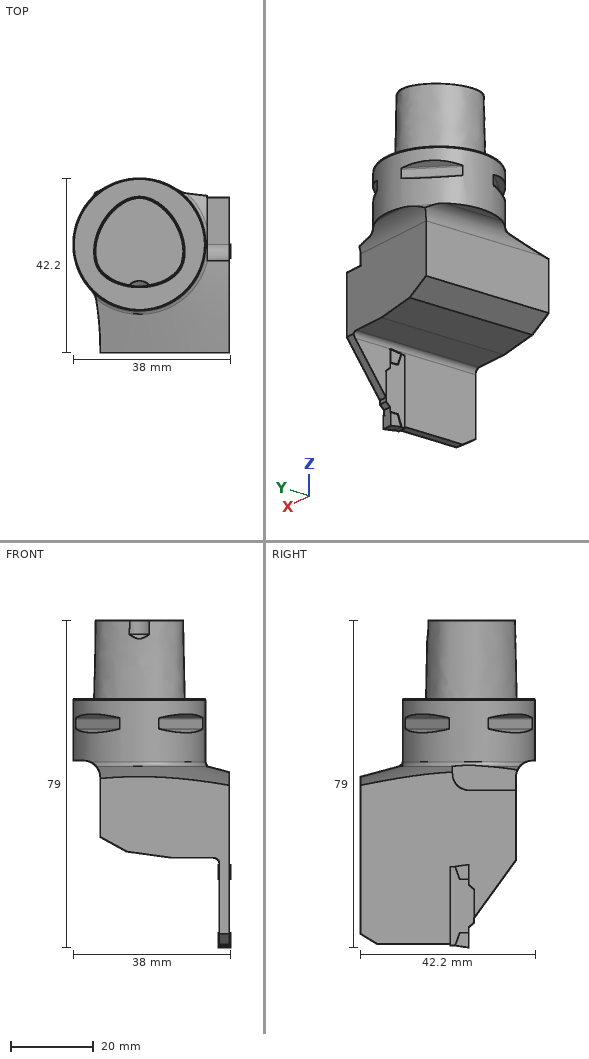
import cadquery as cq
import math


shank_height = 18.9
lobe_radius = 11.0
lobe_offset = 0.59
shank_taper = 0.4

notch_radius = 3.15
notch_axis_y = -11.9
notch_depth = 3.4
notch_tip_angle = 39

flange_diameter = 32.0
flange_radius = flange_diameter / 2
flange_height = 15.0
flange_chamfer_width = 0.2
flange_chamfer_height = 0.4
slot_floor_distance = 14.15
slot_center_z = -6.0
slot_floor_width = 2.6
slot_mouth_width = 4.5
slot_corner_fillet = 0.3

cone_angle = 15
cone_top_z = -16.1
shoulder_fillet = 1.1
envelope_radius = 47.4
envelope_bottom = -71.1

block_left = -9.5
block_right = 21.7
block_front = -26.15
block_back = 11.4
cove_radius = 3.95
block_bottom = -38.5
left_edge_bottom = -33.4
slope_break_x = -3.0
slope_break_z = -37.0
flat_start_x = 8.0
blade_thickness = 2.45
blade_left = block_right - blade_thickness
blade_fillet = 1.4
blade_bottom = -59.25
blade_chamfer_width = 4.0
blade_chamfer_height = 2.45
back_slope_top_z = -39.0
back_slope_end_y = 1.3
back_slope_end_z = -53.0

relief_left = 16.35
relief_front = -3.95
relief_floor_z = -22.1

insert_center_z = -50.1
insert_back_y = -4.5
insert_half_height = 9.55
insert_tip_half_height = 10.0
belly_y = 1.3
belly_half_height = 4.0
neck_half_height = 5.1
head_half_height = 6.5
head_inner_depth = 2.2
head_outer_depth = 3.3
head_overhang = 0.28


def lobed_wire(radius, z):
    """Closed three-lobed outline whose support function is radius + offset * cos(3 * angle)."""
    def point(t):
        angle = 2 * math.pi * t
        phase = 3 * (angle - math.pi / 2)
        support = radius + lobe_offset * math.cos(phase)
        slope = -3 * lobe_offset * math.sin(phase)
        x = support * math.cos(angle) - slope * math.sin(angle)
        y = support * math.sin(angle) + slope * math.cos(angle)
        return (x, y, z)

    samples = 36
    edge = cq.Edge.makeSpline([cq.Vector(*point(i / samples)) for i in range(samples)], periodic=True)
    return cq.Wire.assembleEdges([edge])


def make_shank():
    base = lobed_wire(lobe_radius, 0)
    top = lobed_wire(lobe_radius - shank_taper, shank_height)
    shank = cq.Workplane(obj=cq.Solid.makeLoft([base, top]))
    shoulder_z = shank_height - notch_depth
    tip_z = shoulder_z - notch_radius * math.tan(math.radians(notch_tip_angle))
    drill = (
        cq.Workplane("XZ")
        .polyline([(0, tip_z), (notch_radius, shoulder_z), (notch_radius, shank_height), (0, shank_height)])
        .close()
        .revolve(360, (0, 0), (0, 1))
        .translate((0, notch_axis_y, 0))
    )
    return shank.cut(drill)


def make_flange():
    return (
        cq.Workplane("XZ")
        .polyline([
            (0, 0),
            (flange_radius - flange_chamfer_width, 0),
            (flange_radius, -flange_chamfer_height),
            (flange_radius, -flange_height),
            (0, -flange_height),
        ])
        .close()
        .revolve(360, (0, 0), (0, 1))
    )


def make_gripper_slot(angle):
    """Straight slot with flared sides, cut into the flange rim at the given angle."""
    floor_top = slot_center_z + slot_floor_width / 2
    floor_bottom = slot_center_z - slot_floor_width / 2
    flare = (slot_mouth_width - slot_floor_width) / 2
    return (
        cq.Workplane("XZ")
        .polyline([
            (slot_floor_distance, floor_bottom),
            (flange_radius, floor_bottom - flare),
            (flange_radius, floor_top + flare),
            (slot_floor_distance, floor_top),
        ])
        .close()
        .extrude(flange_radius, both=True)
        .faces("<X")
        .edges("|Y")
        .fillet(slot_corner_fillet)
        .rotate((0, 0, 0), (0, 0, 1), angle)
    )


def make_shoulder_envelope():
    """Revolved space below the flange: rim, blend, then a downward cone."""
    slope = math.radians(cone_angle)
    tangent_length = shoulder_fillet * math.tan((math.pi / 2 - slope) / 2)
    blend_end = (
        flange_radius + tangent_length * math.cos(slope),
        cone_top_z - tangent_length * math.sin(slope),
    )
    cone_end_z = cone_top_z - (envelope_radius - flange_radius) * math.tan(slope)
    return (
        cq.Workplane("XZ")
        .moveTo(0, -flange_height)
        .lineTo(flange_radius, -flange_height)
        .lineTo(flange_radius, cone_top_z + tangent_length)
        .tangentArcPoint(blend_end, relative=False)
        .lineTo(envelope_radius, cone_end_z)
        .lineTo(envelope_radius, envelope_bottom)
        .lineTo(0, envelope_bottom)
        .close()
        .revolve(360, (0, 0), (0, 1))
    )


def cove_middle(wall, outward):
    """Middle of the concave quarter arc from the flange underside to a block wall."""
    reach = cove_radius * (1 - math.sqrt(0.5))
    return (wall + outward * reach, -flange_height - reach)


def make_block():
    """Block and blade: the profile across X and the profile across Y, intersected."""
    across_x = (
        cq.Workplane("XZ")
        .moveTo(block_right, -flange_height)
        .lineTo(block_left - cove_radius, -flange_height)
        .threePointArc(cove_middle(block_left, -1), (block_left, -flange_height - cove_radius))
        .lineTo(block_left, left_edge_bottom)
        .lineTo(slope_break_x, slope_break_z)
        .lineTo(flat_start_x, block_bottom)
        .lineTo(blade_left - blade_fillet, block_bottom)
        .tangentArcPoint((blade_left, block_bottom - blade_fillet), relative=False)
        .lineTo(blade_left, blade_bottom)
        .lineTo(block_right, blade_bottom)
        .close()
        .extrude(envelope_radius, both=True)
    )
    across_y = (
        cq.Workplane("YZ")
        .moveTo(block_front, -flange_height)
        .lineTo(block_back + cove_radius, -flange_height)
        .threePointArc(cove_middle(block_back, 1), (block_back, -flange_height - cove_radius))
        .lineTo(block_back, back_slope_top_z)
        .lineTo(back_slope_end_y, back_slope_end_z)
        .lineTo(insert_back_y, blade_bottom)
        .lineTo(block_front + blade_chamfer_width, blade_bottom)
        .lineTo(block_front, blade_bottom + blade_chamfer_height)
        .close()
        .extrude(envelope_radius, both=True)
    )
    return across_x.intersect(across_y).intersect(make_shoulder_envelope())


def make_relief():
    """Stepped-down back corner of the block, with a concave radius at the step."""
    length = block_right - relief_left
    return (
        cq.Workplane("YZ", origin=(relief_left, 0, 0))
        .moveTo(relief_front, -flange_height)
        .lineTo(relief_front, relief_floor_z + cove_radius)
        .tangentArcPoint((relief_front + cove_radius, relief_floor_z), relative=False)
        .lineTo(block_back + cove_radius, relief_floor_z)
        .lineTo(block_back + cove_radius, -flange_height)
        .close()
        .extrude(length)
    )


def make_insert():
    """Double-ended insert: a plate as thick as the blade with a wider head at each end."""
    upper_outline = [
        (insert_back_y, insert_half_height),
        (-head_outer_depth, insert_half_height),
        (0, insert_tip_half_height),
        (0, neck_half_height),
        (belly_y, belly_half_height),
    ]
    lower_outline = [(y, -z) for y, z in reversed(upper_outline)]
    plate = (
        cq.Workplane("YZ", origin=(blade_left, 0, insert_center_z))
        .polyline(upper_outline + lower_outline)
        .close()
        .extrude(blade_thickness)
    )
    for side in (1, -1):
        head = (
            cq.Workplane("YZ", origin=(blade_left - head_overhang, 0, insert_center_z))
            .polyline([
                (0, side * head_half_height),
                (-head_inner_depth, side * head_half_height),
                (-head_outer_depth, side * insert_half_height),
                (0, side * insert_tip_half_height),
            ])
            .close()
            .extrude(blade_thickness + 2 * head_overhang)
        )
        plate = plate.union(head)
    return plate


def make_holder(insert):
    flange = make_flange()
    for angle in (45, 135, 225, 315):
        flange = flange.cut(make_gripper_slot(angle))
    block = make_block().cut(make_relief())
    return make_shank().union(flange).union(block).cut(insert)


insert = make_insert()
holder = make_holder(insert)

result = cq.Compound.makeCompound([holder.solids().val(), insert.solids().val()])